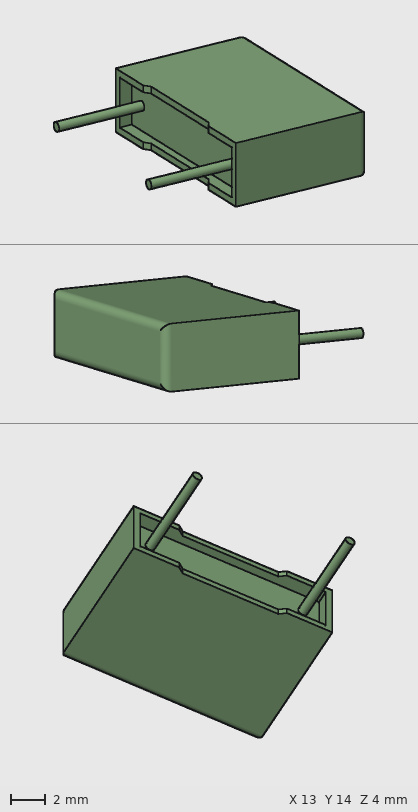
import cadquery as cq

housing_width = 13.0
housing_length = 9.0
housing_height = 4.0
wall = 0.43
back_edge_radius = 0.49

relief_depth = 0.3
relief_floor_width = 6.25
relief_mouth_width = 7.05

fill_recess = 0.83

lead_diameter = 0.6
lead_pitch = 10.0
lead_protrusion = 5.0

rim_y = 0
fill_face_y = rim_y + fill_recess
cavity_end_y = rim_y + housing_length - wall
cavity_width = housing_width - 2 * wall
cavity_height = housing_height - 2 * wall


def block(width, height, start_y, end_y):
    """Box centred on X and Z, spanning start_y to end_y."""
    return (
        cq.Workplane("XY")
        .box(width, end_y - start_y, height, centered=(True, False, True))
        .translate((0, start_y, 0))
    )


def make_rim_relief():
    """Tapered cutter through the full height, narrowing away from the rim."""
    return (
        cq.Workplane("XY")
        .moveTo(-relief_mouth_width / 2, rim_y)
        .lineTo(relief_mouth_width / 2, rim_y)
        .lineTo(relief_floor_width / 2, rim_y + relief_depth)
        .lineTo(-relief_floor_width / 2, rim_y + relief_depth)
        .close()
        .extrude(housing_height / 2, both=True)
    )


def make_housing():
    """Rounded-back case with a cavity and a relieved rim."""
    shell = block(housing_width, housing_height, rim_y, rim_y + housing_length)
    shell = shell.faces(">Y").edges().fillet(back_edge_radius)
    cavity = block(cavity_width, cavity_height, rim_y, cavity_end_y)
    return shell.cut(cavity).cut(make_rim_relief())


def make_fill():
    """Potting that fills the cavity behind the recess."""
    return block(cavity_width, cavity_height, fill_face_y, cavity_end_y)


def make_lead(x):
    """Wire standing on the fill face and running out past the rim."""
    return (
        cq.Workplane("XZ", origin=(x, fill_face_y, 0))
        .circle(lead_diameter / 2)
        .extrude(fill_recess + lead_protrusion)
    )


housing = make_housing()
fill = make_fill()
leads = [make_lead(side * lead_pitch / 2) for side in (-1, 1)]

result = cq.Compound.makeCompound(
    [housing.val(), fill.val(), *[lead.val() for lead in leads]]
)